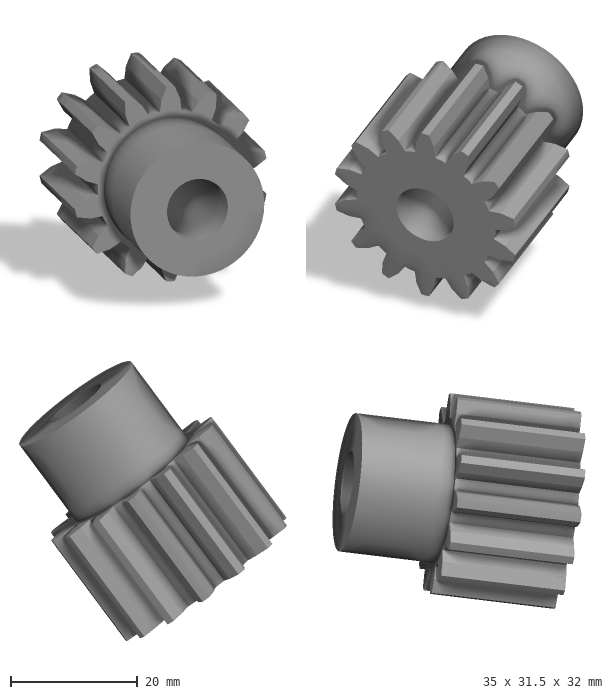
import cadquery as cq
import math

MODULE = 2.0
TOOTH_COUNT = 14
FACE_WIDTH = 20.0
HUB_LENGTH = 15.0
HUB_DIAMETER = 22.0
BORE_DIAMETER = 10.0

PITCH_RADIUS = MODULE * TOOTH_COUNT / 2
TIP_RADIUS = PITCH_RADIUS + MODULE
ROOT_RADIUS = PITCH_RADIUS - MODULE

THICKNESS_FACTOR = 0.98
TIP_WIDTH_RATIO = 0.38
ROOT_WIDTH_RATIO = 1.36

TOOTH_PITCH_ANGLE = 2 * math.pi / TOOTH_COUNT
PITCH_HALF_ANGLE = THICKNESS_FACTOR * TOOTH_PITCH_ANGLE / 4
TIP_HALF_ANGLE = TIP_WIDTH_RATIO * PITCH_HALF_ANGLE
ROOT_HALF_ANGLE = ROOT_WIDTH_RATIO * PITCH_HALF_ANGLE

TOTAL_LENGTH = FACE_WIDTH + HUB_LENGTH

END_PLANE = "YZ"


def polar_point(radius, angle):
    """Point on the end face; the angle is measured from +Z toward +Y."""
    return (radius * math.sin(angle), radius * math.cos(angle))


def make_gear():
    """Toothed section: each flank is two flats that meet on the pitch circle."""
    outline = cq.Workplane(END_PLANE).moveTo(*polar_point(ROOT_RADIUS, -ROOT_HALF_ANGLE))
    for tooth in range(TOOTH_COUNT):
        center = tooth * TOOTH_PITCH_ANGLE
        next_center = center + TOOTH_PITCH_ANGLE
        gap_center = center + TOOTH_PITCH_ANGLE / 2
        outline = (
            outline
            .lineTo(*polar_point(PITCH_RADIUS, center - PITCH_HALF_ANGLE))
            .lineTo(*polar_point(TIP_RADIUS, center - TIP_HALF_ANGLE))
            .threePointArc(
                polar_point(TIP_RADIUS, center),
                polar_point(TIP_RADIUS, center + TIP_HALF_ANGLE),
            )
            .lineTo(*polar_point(PITCH_RADIUS, center + PITCH_HALF_ANGLE))
            .lineTo(*polar_point(ROOT_RADIUS, center + ROOT_HALF_ANGLE))
            .threePointArc(
                polar_point(ROOT_RADIUS, gap_center),
                polar_point(ROOT_RADIUS, next_center - ROOT_HALF_ANGLE),
            )
        )
    return outline.close().extrude(FACE_WIDTH)


def make_hub():
    """Plain cylinder behind the toothed section."""
    return (
        cq.Workplane(END_PLANE)
        .workplane(offset=FACE_WIDTH)
        .circle(HUB_DIAMETER / 2)
        .extrude(HUB_LENGTH)
    )


def make_bore():
    """Cylinder removed along the whole length of the part."""
    return cq.Workplane(END_PLANE).circle(BORE_DIAMETER / 2).extrude(TOTAL_LENGTH)


result = make_gear().union(make_hub()).cut(make_bore())